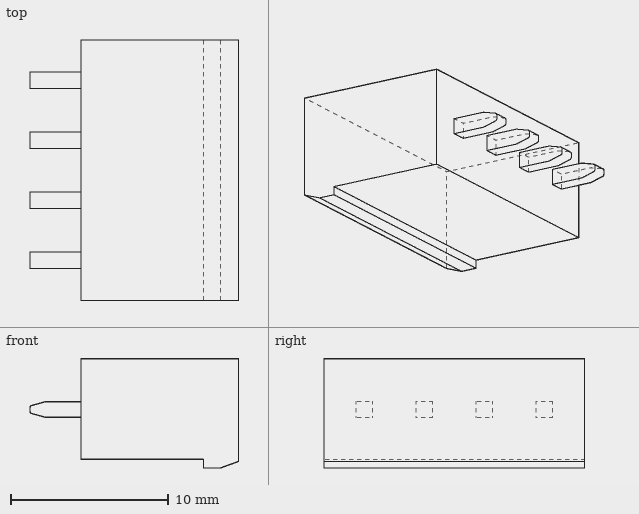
import cadquery as cq

housing_length = 10.02
housing_width = 16.56
housing_height = 6.41

rib_length = 2.24
rib_depth = 0.55
rib_bevel_length = 1.15
rib_bevel_height = 0.41

pin_count = 4
pin_pitch = 3.81
pin_length = 3.23
pin_width = 1.06
pin_height = 1.01
pin_taper_length = 1.0
pin_tip_height = 0.46
pin_tip_radius = 0.15
pin_drop = 0.03



def make_housing():
    """Block with a full-width bevelled latch rib below its +X end."""
    top = housing_height / 2
    bottom = -top
    rib_bottom = bottom - rib_depth
    return (
        cq.Workplane("XZ")
        .moveTo(0, top)
        .lineTo(housing_length, top)
        .lineTo(housing_length, rib_bottom + rib_bevel_height)
        .lineTo(housing_length - rib_bevel_length, rib_bottom)
        .lineTo(housing_length - rib_length, rib_bottom)
        .lineTo(housing_length - rib_length, bottom)
        .lineTo(0, bottom)
        .close()
        .extrude(housing_width / 2, both=True)
    )


def make_pin(y):
    """Pin pointing along -X, tapered above and below to a rounded tip."""
    half_height = pin_height / 2
    half_tip = pin_tip_height / 2
    taper_start = pin_taper_length - pin_length
    return (
        cq.Workplane("XZ")
        .moveTo(0, half_height)
        .lineTo(taper_start, half_height)
        .lineTo(-pin_length, half_tip)
        .lineTo(-pin_length, -half_tip)
        .lineTo(taper_start, -half_height)
        .lineTo(0, -half_height)
        .close()
        .extrude(pin_width / 2, both=True)
        .faces("<X")
        .edges("|Y")
        .fillet(pin_tip_radius)
        .translate((0, y, -pin_drop))
    )


result = make_housing()
for pin_index in range(pin_count):
    pin_y = (pin_index - (pin_count - 1) / 2) * pin_pitch
    result = result.union(make_pin(pin_y))